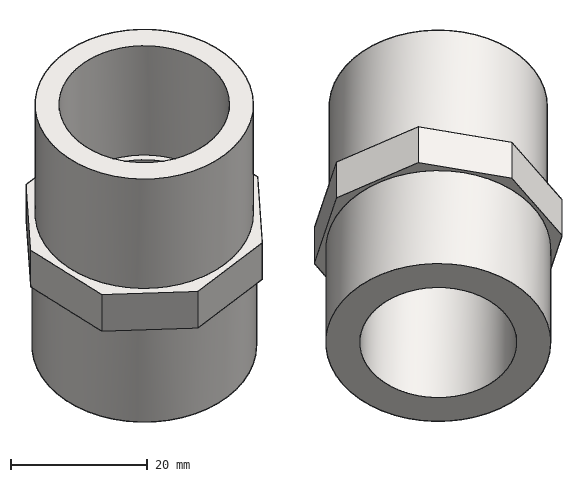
import cadquery as cq
import math

total_height = 48.5
lower_height = 19.1
collar_height = 7.35
collar_top = lower_height + collar_height
upper_height = total_height - collar_top

lower_diameter = 33.0
upper_diameter = 32.0
collar_sides = 8
collar_across_flats = 34.0
collar_across_corners = collar_across_flats / math.cos(math.pi / collar_sides)

passage_diameter = 23.0
socket_diameter = 25.0
socket_depth = upper_height


def cylinder(diameter, height, base):
    """Vertical cylinder standing on the level z = base."""
    return cq.Workplane("XY").workplane(offset=base).circle(diameter / 2).extrude(height)


def octagonal_collar():
    """Wrench collar with flats facing the X and Y axes."""
    half_side_angle = 180 / collar_sides
    return (
        cq.Workplane("XY")
        .workplane(offset=lower_height)
        .polygon(collar_sides, collar_across_corners)
        .extrude(collar_height)
        .rotate((0, 0, 0), (0, 0, 1), half_side_angle)
    )


lower_sleeve = cylinder(lower_diameter, lower_height, 0)
upper_sleeve = cylinder(upper_diameter, upper_height, collar_top)
body = lower_sleeve.union(octagonal_collar()).union(upper_sleeve)

passage = cylinder(passage_diameter, total_height, 0)
socket = cylinder(socket_diameter, socket_depth, total_height - socket_depth)

result = body.cut(passage).cut(socket)